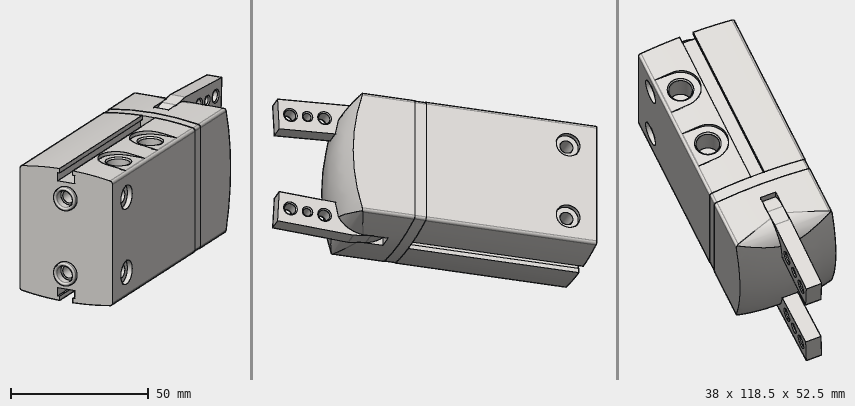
import cadquery as cq
import math

WIDTH = 38.0
HALF_WIDTH = WIDTH / 2
CROWN_Z = 25.5
CROWN_RADIUS = 114.0
EDGE_RADIUS = 1.2
BODY_LENGTH = 65.0
BAND_END = 69.3
BAND_DEPTH = 0.15
NOSE_Y = 96.0
NOSE_PLAN_RADIUS = 60.0
NOSE_SIDE_RADIUS = 80.0
SHOULDER_RADIUS = 12.0
SHOULDER_START = 83.2
SHOULDER_SWEEP = math.radians(65.0)

SLOT_NECK_WIDTH = 5.35
SLOT_FOOT_WIDTH = 6.9
SLOT_FOOT_TOP = 23.75
SLOT_FLOOR = 20.6

PORT_X = 11.0
PORT_YS = (20.0, 45.0)
PORT_DIAMETER = 8.57
PORT_CHAMFER = 0.55
PORT_DEPTH = 10.0
PAD_RADIUS = 7.5
PAD_Z = 24.1

MOUNT_Z = 14.5
MOUNT_Y = 11.0
MOUNT_DIAMETER = 4.92
SLEEVE_DIAMETER = 9.0
SLEEVE_BORE = 6.4
SLEEVE_SEAT = 2.0
SLEEVE_PROTRUSION = 1.8

JAW_TIP_Y = 116.66
JAW_TOP_Z = 26.235
JAW_THICKNESS = 6.1
JAW_HEIGHT = 12.0
JAW_TILT = math.radians(3.0)
JAW_PEAK_Y = 87.8
TAIL_SLOPE = math.radians(8.0)
TAIL_END_SLOPE = math.radians(42.0)
TAIL_START = 81.1
TAIL_END = 74.6
JAW_HOLE_PITCH = 6.5
JAW_HOLE_FIRST = 4.6
JAW_HOLES = ((4.3, 5.2), (3.0, 4.0), (4.3, 5.2))


def crowned_section(inset):
    """Housing cross-section in XZ with flat sides and crowned top and bottom, shrunk evenly."""
    half_width = HALF_WIDTH - inset
    crown = CROWN_Z - inset
    radius = CROWN_RADIUS - inset
    side = crown - radius + math.sqrt(radius**2 - half_width**2)
    return (
        cq.Workplane("XZ")
        .moveTo(-half_width, -side)
        .threePointArc((0, -crown), (half_width, -side))
        .lineTo(half_width, side)
        .threePointArc((0, crown), (-half_width, side))
        .close()
    )


def crowned_bar(start, end, inset=0.0):
    """Length of the housing with rounded long edges."""
    bar = crowned_section(inset).extrude(start - end)
    bar = bar.edges("|Y").fillet(EDGE_RADIUS - inset)
    return bar.translate((0, start, 0))


def nose_barrel():
    """Barrel about a crosswise axis; its front is the doubly curved nose."""
    axis_y = NOSE_Y - NOSE_SIDE_RADIUS
    edge_y = NOSE_Y - NOSE_PLAN_RADIUS + math.sqrt(NOSE_PLAN_RADIUS**2 - HALF_WIDTH**2)
    return (
        cq.Workplane("XY")
        .moveTo(-HALF_WIDTH, axis_y)
        .lineTo(-HALF_WIDTH, edge_y)
        .threePointArc((0, NOSE_Y), (HALF_WIDTH, edge_y))
        .lineTo(HALF_WIDTH, axis_y)
        .close()
        .revolve(360, (-1, axis_y, 0), (1, axis_y, 0))
    )


def shoulder_block():
    """Side outline extruded across the width: rounded shoulders that run on to a point ahead of the nose."""
    sine = math.sin(SHOULDER_SWEEP)
    cosine = math.cos(SHOULDER_SWEEP)
    center_z = CROWN_Z - SHOULDER_RADIUS
    middle_y = SHOULDER_START + SHOULDER_RADIUS * math.sin(SHOULDER_SWEEP / 2)
    middle_z = center_z + SHOULDER_RADIUS * math.cos(SHOULDER_SWEEP / 2)
    end_y = SHOULDER_START + SHOULDER_RADIUS * sine
    end_z = center_z + SHOULDER_RADIUS * cosine
    point_y = end_y + end_z * cosine / sine
    return (
        cq.Workplane("YZ", origin=(-HALF_WIDTH, 0, 0))
        .moveTo(0, CROWN_Z)
        .lineTo(SHOULDER_START, CROWN_Z)
        .threePointArc((middle_y, middle_z), (end_y, end_z))
        .lineTo(point_y, 0)
        .lineTo(end_y, -end_z)
        .threePointArc((middle_y, -middle_z), (SHOULDER_START, -CROWN_Z))
        .lineTo(0, -CROWN_Z)
        .close()
        .extrude(WIDTH)
    )


def t_slots():
    """T-shaped cutters along the body, one in the top face and one in the bottom face."""
    neck = cq.Workplane("XY").box(
        SLOT_NECK_WIDTH, BODY_LENGTH, CROWN_Z - SLOT_FLOOR, centered=(True, False, False)
    )
    foot = cq.Workplane("XY").box(
        SLOT_FOOT_WIDTH, BODY_LENGTH, SLOT_FOOT_TOP - SLOT_FLOOR, centered=(True, False, False)
    )
    top_slot = neck.union(foot).translate((0, 0, SLOT_FLOOR))
    return top_slot.union(top_slot.mirror("XY"))


def air_port(y):
    """Flat pad that runs out to the +X side, with a chamfered blind port in its middle."""
    above = CROWN_Z - PAD_Z
    pad = cq.Workplane("XY", origin=(PORT_X, y, PAD_Z)).circle(PAD_RADIUS).extrude(above)
    runout = (
        cq.Workplane("XY", origin=(PORT_X, y, PAD_Z))
        .box(HALF_WIDTH - PORT_X, 2 * PAD_RADIUS, above, centered=(False, True, False))
    )
    bore = (
        cq.Workplane("XY", origin=(PORT_X, y, PAD_Z - PORT_DEPTH))
        .circle(PORT_DIAMETER / 2)
        .extrude(PORT_DEPTH)
    )
    mouth = cq.Workplane("XY").add(
        cq.Solid.makeCone(
            PORT_DIAMETER / 2,
            PORT_DIAMETER / 2 + PORT_CHAMFER,
            PORT_CHAMFER,
            pnt=cq.Vector(PORT_X, y, PAD_Z - PORT_CHAMFER),
        )
    )
    return pad.union(runout).union(bore).union(mouth)


def mounting_holes(z):
    """Crosswise through hole with a seat at both ends, and the rear hole that runs into it."""
    cross_hole = (
        cq.Workplane("YZ", origin=(-HALF_WIDTH, MOUNT_Y, z)).circle(MOUNT_DIAMETER / 2).extrude(WIDTH)
    )
    rear_hole = cq.Workplane("XZ", origin=(0, 0, z)).circle(MOUNT_DIAMETER / 2).extrude(-MOUNT_Y)
    rear_seat = cq.Workplane("XZ", origin=(0, 0, z)).circle(SLEEVE_DIAMETER / 2).extrude(-SLEEVE_SEAT)
    cutter = cross_hole.union(rear_hole).union(rear_seat)
    for seat_x in (-HALF_WIDTH, HALF_WIDTH - SLEEVE_SEAT):
        side_seat = (
            cq.Workplane("YZ", origin=(seat_x, MOUNT_Y, z))
            .circle(SLEEVE_DIAMETER / 2)
            .extrude(SLEEVE_SEAT)
        )
        cutter = cutter.union(side_seat)
    return cutter


def jaw_top_edge_z(y):
    """Height of the tilted straight top edge at a place along Y."""
    return JAW_TOP_Z - (y - JAW_PEAK_Y) * math.tan(JAW_TILT)


def jaw_inner_edge_z(y):
    """Height of the tilted inner edge, parallel to the straight top edge."""
    return jaw_top_edge_z(y) - JAW_HEIGHT / math.cos(JAW_TILT)


def jaw_hole(y, z, bore, countersink):
    """Crosswise bore through the jaw with a 45 degree countersink at both ends."""
    cutter = (
        cq.Workplane("YZ", origin=(-JAW_THICKNESS / 2, y, z)).circle(bore / 2).extrude(JAW_THICKNESS)
    )
    depth = (countersink - bore) / 2
    for side in (-1, 1):
        cone = cq.Solid.makeCone(
            countersink / 2,
            bore / 2,
            depth,
            pnt=cq.Vector(side * JAW_THICKNESS / 2, y, z),
            dir=cq.Vector(-side, 0, 0),
        )
        cutter = cutter.union(cq.Workplane("XY").add(cone))
    return cutter


def upper_jaw():
    """Open upper jaw: straight tilted arm whose sloping, rounded tail sinks into the nose."""
    tip_top_z = jaw_top_edge_z(JAW_TIP_Y)
    tip_inner_y = JAW_TIP_Y - JAW_HEIGHT * math.sin(JAW_TILT)
    tip_inner_z = tip_top_z - JAW_HEIGHT * math.cos(JAW_TILT)
    tail_top_z = JAW_TOP_Z - (JAW_PEAK_Y - TAIL_START) * math.tan(TAIL_SLOPE)
    tail_radius = (TAIL_START - TAIL_END) / (math.sin(TAIL_END_SLOPE) - math.sin(TAIL_SLOPE))
    tail_center_y = TAIL_START + tail_radius * math.sin(TAIL_SLOPE)
    tail_center_z = tail_top_z - tail_radius * math.cos(TAIL_SLOPE)
    tail_middle, tail_back = [
        (tail_center_y - tail_radius * math.sin(slope), tail_center_z + tail_radius * math.cos(slope))
        for slope in ((TAIL_SLOPE + TAIL_END_SLOPE) / 2, TAIL_END_SLOPE)
    ]
    jaw = (
        cq.Workplane("YZ", origin=(-JAW_THICKNESS / 2, 0, 0))
        .moveTo(JAW_TIP_Y, tip_top_z)
        .lineTo(JAW_PEAK_Y, JAW_TOP_Z)
        .lineTo(TAIL_START, tail_top_z)
        .threePointArc(tail_middle, tail_back)
        .lineTo(TAIL_END, jaw_inner_edge_z(TAIL_END))
        .lineTo(tip_inner_y, tip_inner_z)
        .close()
        .extrude(JAW_THICKNESS)
    )
    for index, (bore, countersink) in enumerate(JAW_HOLES):
        along = JAW_HOLE_FIRST + index * JAW_HOLE_PITCH
        down = JAW_HEIGHT / 2
        y = JAW_TIP_Y - along * math.cos(JAW_TILT) - down * math.sin(JAW_TILT)
        z = tip_top_z + along * math.sin(JAW_TILT) - down * math.cos(JAW_TILT)
        jaw = jaw.cut(jaw_hole(y, z, bore, countersink))
    return jaw


def upper_jaw_slot():
    """Slot in the nose whose floor lies on the jaw's inner edge, open to the top and the front."""
    return (
        cq.Workplane("YZ", origin=(-JAW_THICKNESS / 2, 0, 0))
        .moveTo(TAIL_END, CROWN_Z)
        .lineTo(TAIL_END, jaw_inner_edge_z(TAIL_END))
        .lineTo(NOSE_Y, jaw_inner_edge_z(NOSE_Y))
        .lineTo(NOSE_Y, CROWN_Z)
        .close()
        .extrude(JAW_THICKNESS)
    )


def build_housing():
    """Body, band and domed nose as one solid, with all slots, ports and seats cut in."""
    body = crowned_bar(0, BODY_LENGTH)
    band = crowned_bar(BODY_LENGTH, BAND_END, BAND_DEPTH)
    nose = crowned_bar(BAND_END, NOSE_Y).intersect(shoulder_block()).intersect(nose_barrel())
    housing = body.union(band).union(nose)
    housing = housing.cut(t_slots())
    for y in PORT_YS:
        housing = housing.cut(air_port(y))
    for z in (-MOUNT_Z, MOUNT_Z):
        housing = housing.cut(mounting_holes(z))
    slot = upper_jaw_slot()
    return housing.cut(slot).cut(slot.mirror("XY"))


def centring_sleeve(z):
    """Ring seated in the rear face, with a fully rounded outer end."""
    outer = SLEEVE_DIAMETER / 2
    inner = SLEEVE_BORE / 2
    round_start = (outer - inner) / 2 - SLEEVE_PROTRUSION
    return (
        cq.Workplane("XY")
        .moveTo(inner, SLEEVE_SEAT)
        .lineTo(inner, round_start)
        .threePointArc(((outer + inner) / 2, -SLEEVE_PROTRUSION), (outer, round_start))
        .lineTo(outer, SLEEVE_SEAT)
        .close()
        .revolve(360, (0, 0, 0), (0, 1, 0))
        .translate((0, 0, z))
    )


housing = build_housing()
jaw_above = upper_jaw()
jaws = [jaw_above, jaw_above.mirror("XY")]
sleeves = [centring_sleeve(z) for z in (-MOUNT_Z, MOUNT_Z)]

result = cq.Compound.makeCompound([housing.val(), *[body.val() for body in jaws + sleeves]])